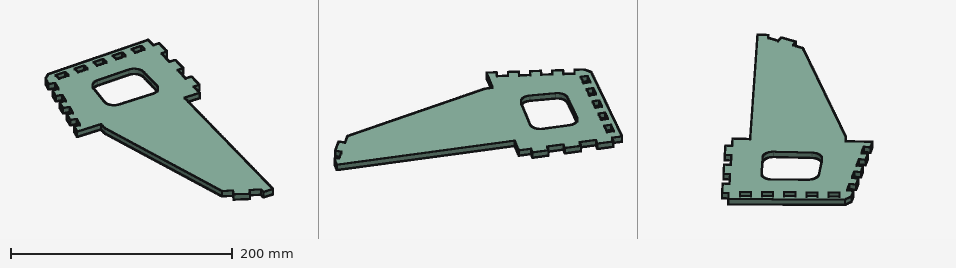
import cadquery as cq
import math

thickness = 6.0
tab_depth = thickness
length = 260.5
height = 132.3

body_width = 95.8
body_bottom = tab_depth - height

top_tab_count = 3
top_tab_width = 15.0
top_tab_pitch = 2 * top_tab_width
top_tab_start = 9.5

left_lean = 2.0
left_edge_end_y = -105.2
left_edge_end = (-left_edge_end_y * math.tan(math.radians(left_lean)), left_edge_end_y)
cut_corner_end_x = 8.7

bottom_slope = 10.1
notch_count = 4
notch_width = 10.0
notch_pitch = 2 * notch_width
last_tab_width = 9.3

arm_top = -15.8
arm_root_bottom = -101.9
arm_taper_start_x = 103.0

tip_end_height = 10.0
tip_slant_start_x = 255.9
tip_slant_angle = 64.8
tip_slant_length = 35.3
tip_tab_width = 15.0

slot_count = 5
slot_width = 6.2
slot_length = 10.0
slot_pitch = 20.0
slot_edge_gap = 5.0
first_slot_distance = 15.4

window_left_top_x = 32.3
window_right = 76.4
window_top = -28.3
window_right_bottom_y = -82.7
window_bottom_slope = 4.4
window_corner_radius = 9.5


def unit(angle):
    """Unit vector at an angle in degrees from +X."""
    return (math.cos(math.radians(angle)), math.sin(math.radians(angle)))


def offset(point, direction, distance):
    """Point moved a distance along a unit direction."""
    return (point[0] + distance * direction[0], point[1] + distance * direction[1])


def step(start, along, across, width):
    """Corners of a rectangular tab or notch that begins at start on an edge."""
    end = offset(start, along, width)
    return [start, offset(start, across, tab_depth), offset(end, across, tab_depth), end]


def top_edge():
    points = [(0, 0)]
    for i in range(top_tab_count):
        start = (top_tab_start + i * top_tab_pitch, 0)
        points += step(start, unit(0), unit(90), top_tab_width)
    points.append((body_width, 0))
    return points


def arm_edge():
    along = unit(tip_slant_angle - 180)
    outward = unit(tip_slant_angle - 90)
    slant_start = (tip_slant_start_x, arm_top - tip_end_height)
    tab_start = offset(slant_start, along, (tip_slant_length - tip_tab_width) / 2)
    return [
        (body_width, arm_top),
        (length, arm_top),
        (length, arm_top - tip_end_height),
        slant_start,
        *step(tab_start, along, outward, tip_tab_width),
        offset(slant_start, along, tip_slant_length),
        (arm_taper_start_x, arm_root_bottom),
        (body_width, arm_root_bottom),
    ]


def bottom_edge():
    along = unit(180 - bottom_slope)
    inward = unit(90 - bottom_slope)
    corner = (body_width, body_bottom)
    points = [corner]
    for i in range(notch_count):
        start = offset(corner, along, last_tab_width + i * notch_pitch)
        points += step(start, along, inward, notch_width)
    rise = (body_width - cut_corner_end_x) * math.tan(math.radians(bottom_slope))
    points.append((cut_corner_end_x, body_bottom + rise))
    points.append(left_edge_end)
    return points


def extrude_outline(points):
    return cq.Workplane("XY").polyline(points).close().extrude(thickness)


def slots():
    down_edge = unit(left_lean - 90)
    inward = unit(left_lean)
    first = offset((0, 0), inward, slot_edge_gap + slot_width / 2)
    centers = [
        offset(first, down_edge, first_slot_distance + i * slot_pitch)
        for i in range(slot_count)
    ]
    return (
        cq.Workplane("XY")
        .sketch()
        .push(centers)
        .rect(slot_width, slot_length, angle=left_lean)
        .finalize()
        .extrude(thickness)
    )


def window():
    left_tangent = math.tan(math.radians(left_lean))
    bottom_tangent = math.tan(math.radians(window_bottom_slope))
    window_width = window_right - window_left_top_x
    right_height = window_top - window_right_bottom_y
    left_height = (right_height - window_width * bottom_tangent) / (1 - left_tangent * bottom_tangent)
    lower_left = (window_left_top_x + left_height * left_tangent, window_top - left_height)
    corners = [
        (window_left_top_x, window_top),
        (window_right, window_top),
        (window_right, window_right_bottom_y),
        lower_left,
    ]
    return extrude_outline(corners).edges("|Z").fillet(window_corner_radius)


plate = extrude_outline(top_edge() + arm_edge() + bottom_edge())
result = plate.cut(slots()).cut(window())